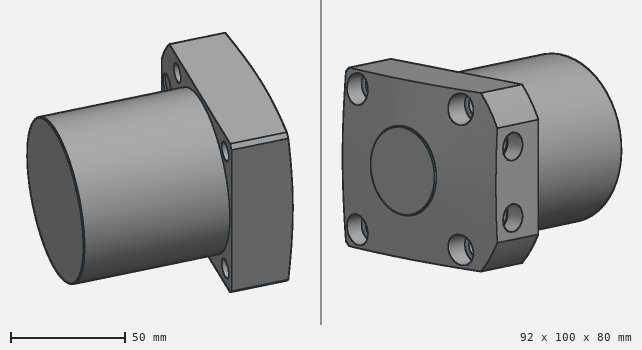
import cadquery as cq
import math

total_length = 100.0
barrel_length = 68.0
barrel_radius = 37.5
barrel_chamfer = 0.5

half_height = 40.0
right_side = 40.0
port_side = -52.0
corner_radius = 58.0
right_chamfer = 2.0

rim_thickness = 26.0
crown_angle = 8.0
disc_radius = 20.0
disc_top_radius = 19.5
crown_margin = 2.0

bolt_offset = 31.5
bolt_diameter = 9.0
counterbore_diameter = 14.0
bolt_seat_thickness = 18.0

port_spacing = 32.0
port_from_flange = 16.2
port_diameter = 11.0
port_mouth_diameter = 12.4
port_mouth_depth = 9.0
port_depth = 15.0
recess_x = -45.0
recess_diameter = 10.2
recess_depth = 1.0

rim_y = barrel_length + rim_thickness
crown_slope = math.tan(math.radians(crown_angle))
disc_base_y = rim_y + (corner_radius - disc_radius) * crown_slope


def cylinder_along_y(x, z, start_y, length, diameter):
    solid = cq.Solid.makeCylinder(
        diameter / 2, length, cq.Vector(x, start_y, z), cq.Vector(0, 1, 0)
    )
    return cq.Workplane(obj=solid)


def make_barrel():
    barrel = cylinder_along_y(0, 0, 0, barrel_length, 2 * barrel_radius)
    return barrel.faces("<Y").chamfer(barrel_chamfer)


def make_head():
    flat_half = math.sqrt(corner_radius**2 - port_side**2)
    arc_x = -math.sqrt(corner_radius**2 - half_height**2)
    arc_angle = (math.atan2(half_height, arc_x) + math.atan2(flat_half, port_side)) / 2
    mid_x = corner_radius * math.cos(arc_angle)
    mid_z = corner_radius * math.sin(arc_angle)
    outline = (
        cq.Workplane("XZ", origin=(0, barrel_length, 0))
        .moveTo(port_side, -flat_half)
        .lineTo(port_side, flat_half)
        .threePointArc((mid_x, mid_z), (arc_x, half_height))
        .lineTo(right_side - right_chamfer, half_height)
        .lineTo(right_side, half_height - right_chamfer)
        .lineTo(right_side, right_chamfer - half_height)
        .lineTo(right_side - right_chamfer, -half_height)
        .lineTo(arc_x, -half_height)
        .threePointArc((mid_x, -mid_z), (port_side, -flat_half))
        .close()
        .extrude(barrel_length - total_length)
    )
    crown_radius = corner_radius + crown_margin
    crown_edge_y = disc_base_y - (crown_radius - disc_radius) * crown_slope
    crown = (
        cq.Workplane("XY")
        .moveTo(0, barrel_length)
        .lineTo(crown_radius, barrel_length)
        .lineTo(crown_radius, crown_edge_y)
        .lineTo(disc_radius, disc_base_y)
        .lineTo(disc_top_radius, total_length)
        .lineTo(0, total_length)
        .close()
        .revolve(360, (0, 0, 0), (0, 1, 0))
    )
    return outline.intersect(crown)


def cut_bolt_holes(body):
    seat_y = barrel_length + bolt_seat_thickness
    for x in (-bolt_offset, bolt_offset):
        for z in (-bolt_offset, bolt_offset):
            body = body.cut(
                cylinder_along_y(x, z, barrel_length, bolt_seat_thickness, bolt_diameter)
            )
            body = body.cut(
                cylinder_along_y(x, z, seat_y, total_length - seat_y, counterbore_diameter)
            )
    return body


def cut_ports(body):
    port_y = barrel_length + port_from_flange
    for z in (-port_spacing / 2, port_spacing / 2):
        mouth = cq.Vector(port_side, port_y, z)
        inward = cq.Vector(1, 0, 0)
        bore = cq.Solid.makeCylinder(port_diameter / 2, port_depth, mouth, inward)
        wide_mouth = cq.Solid.makeCylinder(
            port_mouth_diameter / 2, port_mouth_depth, mouth, inward
        )
        body = body.cut(cq.Workplane(obj=bore)).cut(cq.Workplane(obj=wide_mouth))
        body = body.cut(
            cylinder_along_y(recess_x, z, barrel_length, recess_depth, recess_diameter)
        )
    return body


result = cut_ports(cut_bolt_holes(make_barrel().union(make_head())))